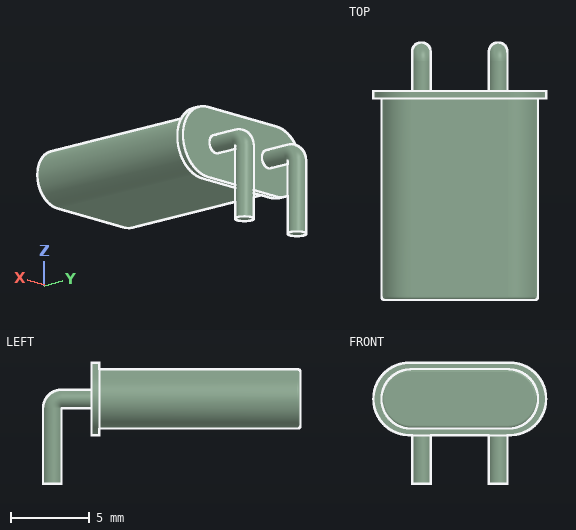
import cadquery as cq

can_width = 10.0
can_height = 3.8
can_length = 12.86
can_edge_radius = 0.2
flange_width = 11.05
flange_height = 4.65
flange_thickness = 0.5

lead_diameter = 1.2
lead_pitch = 4.9
lead_reach = 3.1
overall_height = 7.75

bend_inner_radius = 0.01
lead_radius = lead_diameter / 2
bend_radius = lead_radius + bend_inner_radius
lead_axis_y = flange_thickness + lead_reach - lead_radius
lead_tip_z = flange_height / 2 - overall_height


def oval_prism(width, height, y_front, length):
    """Flat oval with full-round ends, extruded towards +Y from y_front."""
    return (
        cq.Workplane("XZ", origin=(0, y_front, 0))
        .slot2D(width, height)
        .extrude(-length)
    )


def can():
    body = oval_prism(can_width, can_height, -can_length, can_length)
    return body.faces("<Y").edges().fillet(can_edge_radius)


def flange():
    return oval_prism(flange_width, flange_height, 0, flange_thickness)


def lead(x):
    """Round lead: straight out of the flange, a quarter bend, then straight down."""
    path = (
        cq.Workplane("YZ", origin=(x, 0, 0))
        .moveTo(flange_thickness, 0)
        .lineTo(lead_axis_y - bend_radius, 0)
        .tangentArcPoint((lead_axis_y, -bend_radius), relative=False)
        .lineTo(lead_axis_y, lead_tip_z)
    )
    return (
        cq.Workplane("XZ", origin=(x, flange_thickness, 0))
        .circle(lead_radius)
        .sweep(path)
    )


result = can().union(flange())
for side in (-1, 1):
    result = result.union(lead(side * lead_pitch / 2))